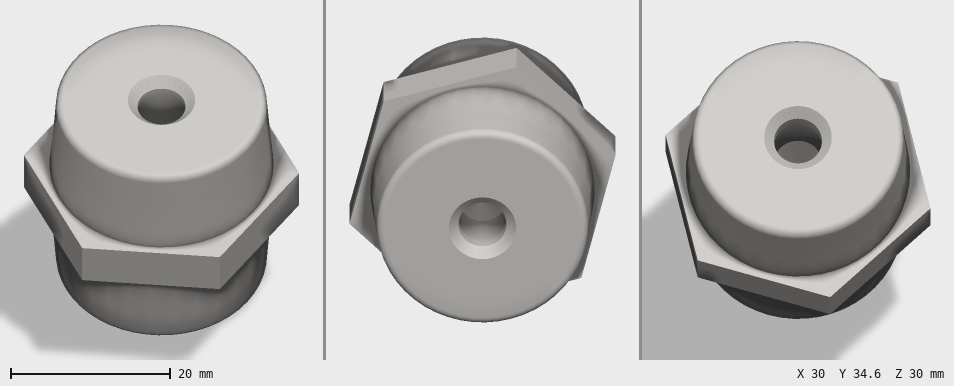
import cadquery as cq
import math

corner_distance = 34.65
collar_height = 6.0

total_height = 30.0
base_radius = 14.05
end_radius = 13.15
rim_fillet = 0.97

hole_diameter = 6.0
countersink_diameter = 8.45
countersink_angle = 90.0
hole_depth = 9.0
drill_tip_angle = 118.0

half_height = total_height / 2
half_collar = collar_height / 2


def barrel():
    """Solid of revolution from the mid-plane up to the upper end face."""
    return (
        cq.Workplane("XZ")
        .lineTo(base_radius, 0)
        .lineTo(base_radius, half_collar)
        .lineTo(end_radius, half_height)
        .lineTo(0, half_height)
        .close()
        .revolve(360, (0, 0), (0, 1))
        .faces(">Z")
        .edges()
        .fillet(rim_fillet)
    )


def end_hole():
    """Countersunk blind hole with a conical bottom, cut from the upper end."""
    hole_radius = hole_diameter / 2
    countersink_radius = countersink_diameter / 2
    countersink_depth = (countersink_radius - hole_radius) / math.tan(math.radians(countersink_angle / 2))
    tip_length = hole_radius / math.tan(math.radians(drill_tip_angle / 2))
    shoulder = half_height - hole_depth
    return (
        cq.Workplane("XZ")
        .moveTo(0, half_height)
        .lineTo(countersink_radius, half_height)
        .lineTo(hole_radius, half_height - countersink_depth)
        .lineTo(hole_radius, shoulder)
        .lineTo(0, shoulder - tip_length)
        .close()
        .revolve(360, (0, 0), (0, 1))
    )


collar = (
    cq.Workplane("XY")
    .polygon(6, corner_distance)
    .extrude(half_collar, both=True)
    .rotate((0, 0, 0), (0, 0, 1), 90)
)
upper_barrel = barrel()
upper_hole = end_hole()

result = (
    collar
    .union(upper_barrel)
    .union(upper_barrel.mirror("XY"))
    .cut(upper_hole)
    .cut(upper_hole.mirror("XY"))
)